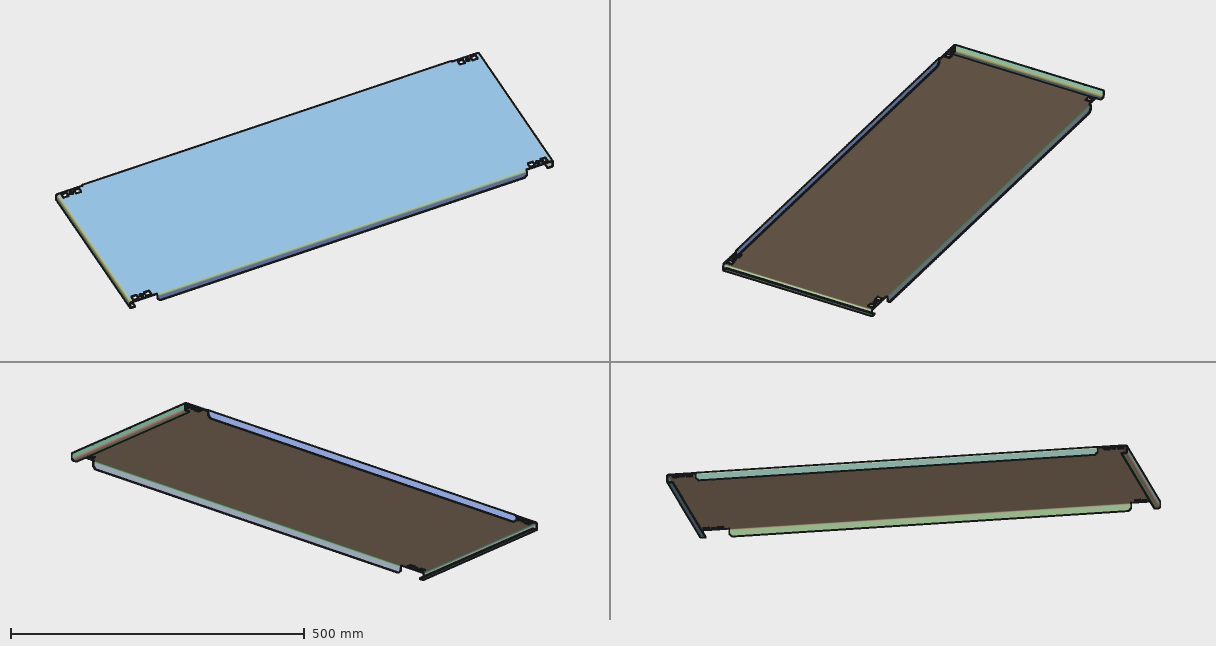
import cadquery as cq

length = 800.0
overall_width = 299.0
height = 15.0

thickness = 2.0
bend_radius = 4.0
inner_radius = bend_radius - thickness

panel_width = overall_width - 2 * bend_radius
lip_depth = 10.0
flange_end_gap = 51.0
flange_length = length - 2 * flange_end_gap
flange_corner_cut = 5.0

hole_edge_distance = 7.6
middle_hole_end_distance = 26.0
hole_pitch = 12.0
square_hole_size = 10.0
round_hole_diameter = 6.0


def make_panel():
    """Flat sheet between the tangent lines of all four edge bends."""
    flat_length = length - 2 * bend_radius
    return cq.Workplane("XY").box(panel_width, flat_length, thickness).translate((0, 0, height - thickness / 2))


def make_end_flange():
    """C-shaped fold at the +Y end, with its lip turned back under the panel."""
    end = length / 2
    tangent = end - bend_radius
    inner_face = end - thickness
    lip_end = end - lip_depth
    profile = (
        cq.Workplane("YZ")
        .moveTo(tangent, height)
        .radiusArc((end, height - bend_radius), bend_radius)
        .lineTo(end, bend_radius)
        .radiusArc((tangent, 0), bend_radius)
        .lineTo(lip_end, 0)
        .lineTo(lip_end, thickness)
        .lineTo(tangent, thickness)
        .radiusArc((inner_face, bend_radius), -inner_radius)
        .lineTo(inner_face, height - bend_radius)
        .radiusArc((tangent, height - thickness), -inner_radius)
        .close()
    )
    return profile.extrude(panel_width / 2, both=True)


def make_side_flange():
    """Plain downward fold along the +X edge, with its lower corners cut off."""
    outer_face = overall_width / 2
    tangent = panel_width / 2
    inner_face = outer_face - thickness
    profile = (
        cq.Workplane("XZ")
        .moveTo(tangent, height)
        .radiusArc((outer_face, height - bend_radius), bend_radius)
        .lineTo(outer_face, 0)
        .lineTo(inner_face, 0)
        .lineTo(inner_face, height - bend_radius)
        .radiusArc((tangent, height - thickness), -inner_radius)
        .close()
    )
    flange = profile.extrude(flange_length / 2, both=True)
    return flange.faces("<Z").edges("|X").chamfer(flange_corner_cut)


def make_corner_cutters():
    """Hole group of the +X, +Y corner, cutting only the top sheet."""
    base = cq.Workplane("XY").workplane(offset=height - thickness)
    hole_x = panel_width / 2 - hole_edge_distance
    middle_y = length / 2 - middle_hole_end_distance
    square_holes = (
        base.pushPoints([(hole_x, middle_y - hole_pitch), (hole_x, middle_y + hole_pitch)])
        .rect(square_hole_size, square_hole_size)
        .extrude(thickness)
    )
    round_hole = base.center(hole_x, middle_y).circle(round_hole_diameter / 2).extrude(thickness)
    return square_holes.add(round_hole).combine()


end_flange = make_end_flange()
side_flange = make_side_flange()
result = (
    make_panel()
    .union(end_flange)
    .union(end_flange.mirror("XZ"))
    .union(side_flange)
    .union(side_flange.mirror("YZ"))
)

corner = make_corner_cutters()
opposite_corner = corner.mirror("YZ")
for cutters in (corner, opposite_corner):
    result = result.cut(cutters).cut(cutters.mirror("XZ"))